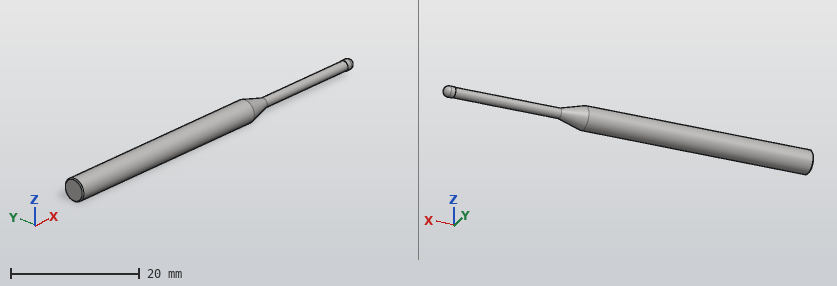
import cadquery as cq

total_length = 63.0
shank_diameter = 4.0
shank_chamfer = 0.2

neck_reach = 20.0
neck_diameter = 1.7
tip_diameter = 1.8
tip_length = 1.7
taper_length = 4.15

shank_radius = shank_diameter / 2
neck_radius = neck_diameter / 2
tip_radius = tip_diameter / 2

shank_start = -total_length / 2
nose_end = total_length / 2
neck_start = nose_end - neck_reach
taper_start = neck_start - taper_length
tip_start = nose_end - tip_length
nose_centre = nose_end - tip_radius
nose_mid_offset = tip_radius * 0.5 ** 0.5

result = (
    cq.Workplane("XY")
    .moveTo(shank_start, 0)
    .lineTo(shank_start, shank_radius - shank_chamfer)
    .lineTo(shank_start + shank_chamfer, shank_radius)
    .lineTo(taper_start, shank_radius)
    .lineTo(neck_start, neck_radius)
    .lineTo(tip_start, neck_radius)
    .lineTo(tip_start, tip_radius)
    .lineTo(nose_centre, tip_radius)
    .threePointArc((nose_centre + nose_mid_offset, nose_mid_offset), (nose_end, 0))
    .close()
    .revolve(360, (0, 0, 0), (1, 0, 0))
)